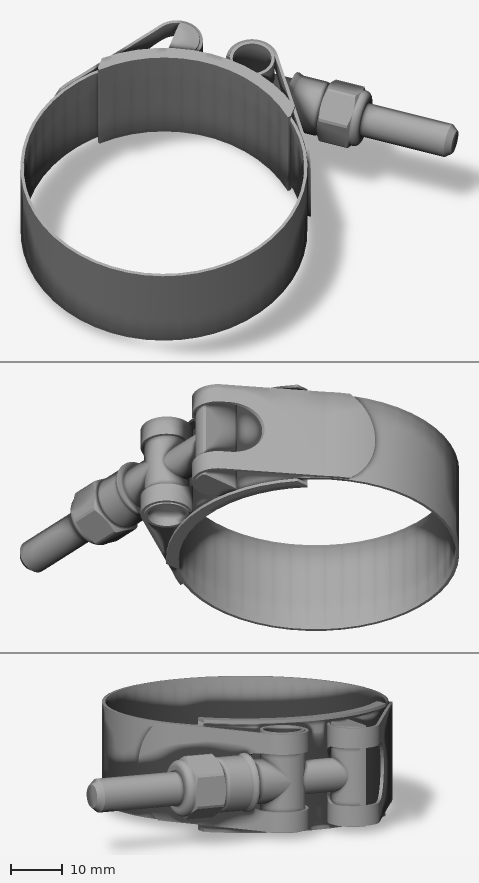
import cadquery as cq
import math


OVERALL_LENGTH = 76.25

RING_RADIUS = 27.6
SHEET = 0.6
BAND_WIDTH = 19.15
FLAP_GAP = 0.1
FLAP_START_Y = 16.9
FLAP_TIP_Y = 8.0
FLAP_SHOULDER_Y = 12.7
SLOT_WIDTH = 11.3
SLOT_CENTER_Y = 32.4

AXIS_Y = 31.1
LOOP_X = 7.6

BARREL_RADIUS = 4.35
BARREL_LENGTH = 19.6
TUBE_BORE_RADIUS = 3.7
HEAD_FLAT_X = -8.5
HEAD_BEVEL_HEIGHT = 0.5
HEAD_BEVEL_DEPTH = 0.2

BOLT_RADIUS = 3.3
BOLT_END_X = OVERALL_LENGTH - RING_RADIUS
BOLT_TIP_RADIUS = 2.3
BOLT_TIP_LENGTH = 1.2

SLEEVE_RADIUS = 4.35
COLLAR_X = 15.4
COLLAR_RADIUS = 5.35
LIP_RADIUS = 5.7
LIP_WIDTH = 0.4
LIP_TAPER = 0.8
COLLAR_ROUNDING = 1.15

NUT_X = 22.5
NUT_FLATS = 11.0
NUT_CORNER_RADIUS = 6.2
NUT_HEX_LENGTH = 6.5
NUT_LENGTH = 8.0
NUT_ROUNDING = 1.15
NUT_CHAMFER_ANGLE = 30

BRIDGE_WIDTH = 22.0
BRIDGE_FLANGE_RADIUS = 28.8
BRIDGE_HALF_SPAN = 19.5

RING_INSIDE = RING_RADIUS - SHEET
FLAP_RADIUS = RING_RADIUS + FLAP_GAP + SHEET
LOOP_DISTANCE = math.hypot(LOOP_X, AXIS_Y)
LOOP_INSIDE = LOOP_DISTANCE - RING_RADIUS
LOOP_RADIUS = LOOP_INSIDE + SHEET
LOOP_ANGLE = math.degrees(math.atan2(AXIS_Y, -LOOP_X))
FLAP_ANGLE = 180 - math.degrees(math.asin(FLAP_START_Y / FLAP_RADIUS))
HEX_DIAMETER = 2 * NUT_FLATS / math.sqrt(3)


def polar(center, radius, angle):
    """Point at an angle in degrees on a circle in the XY plane."""
    a = math.radians(angle)
    return (center[0] + radius * math.cos(a), center[1] + radius * math.sin(a))


def curved_sheet(center, inside, outside, start, end, width):
    """Part of a cylindrical shell along Z, from the start angle to the end angle."""
    middle = (start + end) / 2
    return (
        cq.Workplane("XY")
        .moveTo(*polar(center, outside, start))
        .threePointArc(polar(center, outside, middle), polar(center, outside, end))
        .lineTo(*polar(center, inside, end))
        .threePointArc(polar(center, inside, middle), polar(center, inside, start))
        .close()
        .extrude(width / 2, both=True)
    )


def axis_cylinder(radius, start_x, end_x):
    """Cylinder round the bolt axis."""
    return (
        cq.Workplane("YZ", origin=(start_x, AXIS_Y, 0))
        .circle(radius)
        .extrude(end_x - start_x)
    )


def turned(points):
    """Solid of revolution round the bolt axis from (x, radius) points."""
    return (
        cq.Workplane("XY", origin=(0, AXIS_Y, 0))
        .polyline(points)
        .close()
        .revolve(360, (0, 0, 0), (1, 0, 0))
    )


def barrel(center_x, radius):
    """Upright cylinder at a loop centre."""
    return (
        cq.Workplane("XY", origin=(center_x, AXIS_Y, 0))
        .circle(radius)
        .extrude(BARREL_LENGTH / 2, both=True)
    )


def strap_angle(loop_center, flap_start):
    """Direction from the loop centre to the point where the straight strap leaves the loop tangentially."""
    dx = flap_start[0] - loop_center[0]
    dy = flap_start[1] - loop_center[1]
    toward_flap = math.degrees(math.atan2(dy, dx)) % 360
    return toward_flap - math.degrees(math.acos(LOOP_RADIUS / math.hypot(dx, dy)))


def strap():
    """Left loop, the straight stretch down from it and the rounded end lying over the ring."""
    ring_center = (0, 0)
    loop_center = (-LOOP_X, AXIS_Y)
    flap_start = polar(ring_center, FLAP_RADIUS, FLAP_ANGLE)
    leave_angle = strap_angle(loop_center, flap_start)
    loop = curved_sheet(loop_center, LOOP_INSIDE, LOOP_RADIUS, LOOP_ANGLE - 180, leave_angle, BAND_WIDTH)
    straight = (
        cq.Workplane("XY")
        .polyline([
            polar(loop_center, LOOP_RADIUS, leave_angle),
            polar(loop_center, LOOP_INSIDE, leave_angle),
            polar(ring_center, FLAP_RADIUS - SHEET, FLAP_ANGLE),
            flap_start,
        ])
        .close()
        .extrude(BAND_WIDTH / 2, both=True)
    )
    flap = curved_sheet(ring_center, FLAP_RADIUS - SHEET, FLAP_RADIUS, FLAP_ANGLE, 180, BAND_WIDTH)
    rounded_end = (
        cq.Workplane("YZ")
        .moveTo(AXIS_Y, -BAND_WIDTH / 2)
        .lineTo(FLAP_SHOULDER_Y, -BAND_WIDTH / 2)
        .threePointArc((FLAP_TIP_Y, 0), (FLAP_SHOULDER_Y, BAND_WIDTH / 2))
        .lineTo(AXIS_Y, BAND_WIDTH / 2)
        .close()
        .extrude(-FLAP_RADIUS)
    )
    slot_top = AXIS_Y + LOOP_RADIUS
    slot = (
        cq.Workplane("YZ")
        .moveTo(slot_top, -SLOT_WIDTH / 2)
        .lineTo(SLOT_CENTER_Y, -SLOT_WIDTH / 2)
        .threePointArc((SLOT_CENTER_Y - SLOT_WIDTH / 2, 0), (SLOT_CENTER_Y, SLOT_WIDTH / 2))
        .lineTo(slot_top, SLOT_WIDTH / 2)
        .close()
        .extrude(-FLAP_RADIUS)
    )
    return loop.union(straight).union(flap.intersect(rounded_end)).cut(slot)


def make_band():
    ring = curved_sheet((0, 0), RING_INSIDE, RING_RADIUS, LOOP_ANGLE, 540 - LOOP_ANGLE, BAND_WIDTH)
    left = strap()
    collar_clearance = axis_cylinder(LIP_RADIUS, COLLAR_X, NUT_X)
    return ring.union(left).union(left.mirror("YZ")).cut(collar_clearance)


def make_bridge():
    end_angle = math.degrees(math.acos(BRIDGE_HALF_SPAN / RING_INSIDE))
    channel = curved_sheet(
        (0, 0), RING_INSIDE - SHEET, BRIDGE_FLANGE_RADIUS, end_angle, 180 - end_angle, BRIDGE_WIDTH
    )
    trough = curved_sheet((0, 0), RING_INSIDE, BRIDGE_FLANGE_RADIUS, 0, 180, BRIDGE_WIDTH - 2 * SHEET)
    span = cq.Workplane("XY").box(
        2 * BRIDGE_HALF_SPAN, BRIDGE_FLANGE_RADIUS, BRIDGE_WIDTH, centered=(True, False, True)
    )
    return channel.cut(trough).intersect(span)


def make_bolt():
    shank = turned([
        (-LOOP_X, 0),
        (-LOOP_X, BOLT_RADIUS),
        (BOLT_END_X - BOLT_TIP_LENGTH, BOLT_RADIUS),
        (BOLT_END_X, BOLT_TIP_RADIUS),
        (BOLT_END_X, 0),
    ])
    right_x = BARREL_RADIUS - LOOP_X
    flat_half = math.sqrt(BARREL_RADIUS**2 - (HEAD_FLAT_X + LOOP_X) ** 2)
    bevel_x = HEAD_FLAT_X + HEAD_BEVEL_DEPTH
    half_round = (
        cq.Workplane("XY", origin=(0, AXIS_Y, 0))
        .polyline([
            (HEAD_FLAT_X, flat_half - HEAD_BEVEL_HEIGHT),
            (bevel_x, flat_half),
            (bevel_x, BARREL_RADIUS),
            (right_x, BARREL_RADIUS),
            (right_x, -BARREL_RADIUS),
            (bevel_x, -BARREL_RADIUS),
            (bevel_x, -flat_half),
            (HEAD_FLAT_X, HEAD_BEVEL_HEIGHT - flat_half),
        ])
        .close()
        .extrude(BARREL_LENGTH / 2, both=True)
    )
    return barrel(-LOOP_X, BARREL_RADIUS).intersect(half_round).union(shank)


def make_tube():
    bolt_hole = axis_cylinder(BOLT_RADIUS, 0, 2 * LOOP_X)
    return barrel(LOOP_X, BARREL_RADIUS).cut(barrel(LOOP_X, TUBE_BORE_RADIUS)).cut(bolt_hole)


def make_sleeve():
    collar = turned([
        (COLLAR_X, 0),
        (COLLAR_X, LIP_RADIUS),
        (COLLAR_X + LIP_WIDTH, LIP_RADIUS),
        (COLLAR_X + LIP_WIDTH + LIP_TAPER, COLLAR_RADIUS),
        (NUT_X, COLLAR_RADIUS),
        (NUT_X, 0),
    ])
    collar = collar.faces(">X").edges().fillet(COLLAR_ROUNDING)
    saddled_sleeve = axis_cylinder(SLEEVE_RADIUS, LOOP_X, COLLAR_X).cut(barrel(LOOP_X, BARREL_RADIUS))
    return saddled_sleeve.union(collar).cut(axis_cylinder(BOLT_RADIUS, 0, NUT_X))


def make_nut():
    hexagon = (
        cq.Workplane("YZ", origin=(NUT_X, AXIS_Y, 0))
        .polygon(6, HEX_DIAMETER)
        .extrude(NUT_HEX_LENGTH)
        .rotate((0, AXIS_Y, 0), (1, AXIS_Y, 0), 90)
    )
    chamfer = (NUT_CORNER_RADIUS - NUT_FLATS / 2) * math.tan(math.radians(NUT_CHAMFER_ANGLE))
    hex_end = NUT_X + NUT_HEX_LENGTH
    nut_end = NUT_X + NUT_LENGTH
    chamfered = turned([
        (NUT_X, 0),
        (NUT_X, NUT_FLATS / 2),
        (NUT_X + chamfer, NUT_CORNER_RADIUS),
        (hex_end - chamfer, NUT_CORNER_RADIUS),
        (hex_end, NUT_FLATS / 2),
        (hex_end, 0),
    ])
    dome = axis_cylinder(NUT_FLATS / 2, hex_end, nut_end)
    dome = dome.faces(">X").edges().fillet(NUT_ROUNDING)
    bolt_hole = axis_cylinder(BOLT_RADIUS, NUT_X, nut_end)
    return hexagon.intersect(chamfered).union(dome).cut(bolt_hole)


band = make_band()
bridge = make_bridge()
bolt = make_bolt()
tube = make_tube()
sleeve = make_sleeve()
nut = make_nut()

bodies = [band, bridge, bolt, tube, sleeve, nut]
result = cq.Compound.makeCompound([body.solids().val() for body in bodies])